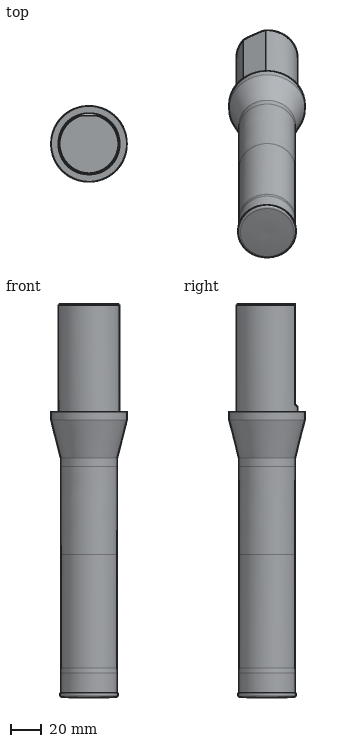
import cadquery as cq
import math


total_length = 255.99
shank_length = 70.0
flange_height = 5.4
flare_height = 24.6
collar_height = 5.4
neck_length = 57.2
head_top = 16.4
head_cone_height = 3.1

shank_diameter = 40.0
flange_diameter = 49.5
head_diameter = 37.05
body_diameter = 36.67
cutting_diameter = 38.0

shank_chamfer = 1.0
flat_distance = 18.3
flat_end_height = 3.0

nose_radius = 1.6
tip_ring_radius = 6.0
crown_rise = 0.4

shank_radius = shank_diameter / 2
flange_radius = flange_diameter / 2
head_radius = head_diameter / 2
body_radius = body_diameter / 2
cutting_radius = cutting_diameter / 2

flange_top = total_length - shank_length
flange_bottom = flange_top - flange_height
collar_top = flange_bottom - flare_height
collar_bottom = collar_top - collar_height
neck_bottom = collar_bottom - neck_length
head_cone_top = head_top + head_cone_height

nose_center_radius = cutting_radius - nose_radius
nose_center_height = crown_rise + nose_radius
seat_overhang = head_radius - nose_center_radius
seat_height = nose_center_height + math.sqrt(nose_radius**2 - seat_overhang**2)


def turn(profile):
    """Revolves a closed half profile around the tool axis."""
    return profile.close().revolve(360, (0, 0, 0), (0, 1, 0))


def make_flat_cutter():
    """Removes the +Y side of the shank, with a 45 degree run-out above the flange."""
    flat_end = flange_top + flat_end_height
    run_out = shank_radius - flat_distance
    return (
        cq.Workplane("YZ")
        .moveTo(flat_distance, total_length)
        .lineTo(flat_distance, flat_end + run_out)
        .lineTo(shank_radius, flat_end)
        .lineTo(flange_radius, flat_end)
        .lineTo(flange_radius, total_length)
        .close()
        .extrude(shank_radius, both=True)
    )


def make_holder():
    """Head, body, tapered neck, collar, flare, flange and shank with its flat."""
    profile = (
        cq.Workplane("XZ")
        .moveTo(0, seat_height)
        .lineTo(head_radius, seat_height)
        .lineTo(head_radius, head_top)
        .lineTo(body_radius, head_cone_top)
        .lineTo(body_radius, neck_bottom)
        .lineTo(head_radius, collar_bottom)
        .lineTo(head_radius, collar_top)
        .lineTo(flange_radius, flange_bottom)
        .lineTo(flange_radius, flange_top)
        .lineTo(shank_radius, flange_top)
        .lineTo(shank_radius, total_length - shank_chamfer)
        .lineTo(shank_radius - shank_chamfer, total_length)
        .lineTo(0, total_length)
    )
    return turn(profile).cut(make_flat_cutter())


def make_cutting_tip():
    """Disc with a rounded, slightly proud rim and a shallow crowned end face."""
    crown_half_width = nose_center_radius - tip_ring_radius
    crown_radius = (crown_half_width**2 + crown_rise**2) / (2 * crown_rise)
    center_rise = crown_radius - math.sqrt(crown_radius**2 - tip_ring_radius**2)
    profile = (
        cq.Workplane("XZ")
        .moveTo(0, center_rise)
        .threePointArc((tip_ring_radius, 0), (nose_center_radius, crown_rise))
        .threePointArc((cutting_radius, nose_center_height), (head_radius, seat_height))
        .lineTo(0, seat_height)
    )
    return turn(profile)


holder = make_holder()
cutting_tip = make_cutting_tip()
result = cq.Compound.makeCompound([holder.val(), cutting_tip.val()])